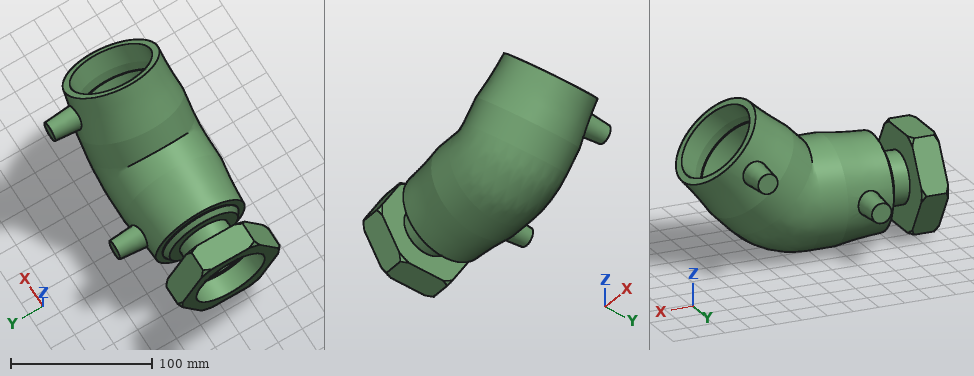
import cadquery as cq
import math

bend_angle = 45.0
arm_length = 71.3
bend_start = 13.6
bend_radius = bend_start / math.tan(math.radians(bend_angle / 2))
straight_length = 20.6
body_radius = 41.0
mouth_radius = 73.9 / 2
taper_sag = 0.5
corner_x = 112.5

socket_radius = 63.0 / 2
passage_radius = 53.5 / 2
shoulder_distance = 14.2
groove_start = 15.3
groove_end = 22.5
groove_radius = 32.7

pin_tip_y = 59.2
pin_root_y = 34.0
pin_tip_radius = 7.5
pin_root_radius = 9.6
pin_distance = 51.8

nut_length = 20.8
nut_across_flats = 73.5
nut_chamfer = 2.6
nut_bore_radius = 28.4
nut_bore_depth = 15.7
neck_radius = 19.8
collar_radius = 22.7
collar_face_x = 14.0
insert_x = 36.7
insert_chamfer_length = 3.8
insert_chamfer_radius = 28.4
bore_radius = 38.0 / 2


def along_x(start, end, radius):
    """Cylinder on the X axis between two X positions."""
    return cq.Workplane("YZ", origin=(start, 0, 0)).circle(radius).extrude(end - start)


def revolve_about_x(profile):
    return profile.close().revolve(360, (0, 0, 0), (1, 0, 0))


def to_outlet(shape):
    """Carry a shape from the inlet arm to its mirror position on the outlet arm."""
    mirrored = shape.mirror("YZ", (corner_x, 0, 0))
    return mirrored.rotate((corner_x, 0, 0), (corner_x, 1, 0), -bend_angle)


def sweep_bend(section):
    """Revolve a section at the start of the bend through the bend angle."""
    return section.revolve(bend_angle, (0, bend_radius, 0), (-1, bend_radius, 0))


def make_arm():
    mouth_x = corner_x - arm_length
    bend_x = corner_x - bend_start
    taper_end_x = bend_x - straight_length
    taper_middle = ((mouth_x + taper_end_x) / 2, (mouth_radius + body_radius) / 2 - taper_sag)
    profile = (
        cq.Workplane("XZ")
        .moveTo(mouth_x, 0)
        .lineTo(mouth_x, mouth_radius)
        .threePointArc(taper_middle, (taper_end_x, body_radius))
        .lineTo(bend_x, body_radius)
        .lineTo(bend_x, 0)
    )
    return revolve_about_x(profile)


def make_pin():
    length = pin_tip_y - pin_root_y
    pin = cq.Solid.makeCone(
        pin_root_radius, pin_tip_radius, length,
        cq.Vector(corner_x - pin_distance, pin_root_y, 0), cq.Vector(0, 1, 0),
    )
    return cq.Workplane(pin)


def make_bend():
    """Outer bend: the part of the body circle on the arm side of the bend axis."""
    start = cq.Workplane("YZ", origin=(corner_x - bend_start, 0, 0))
    half_chord = math.sqrt(body_radius**2 - bend_radius**2)
    section = (
        start.moveTo(-half_chord, bend_radius)
        .threePointArc((0, -body_radius), (half_chord, bend_radius))
        .close()
    )
    return sweep_bend(section)


def make_passage():
    start = cq.Workplane("YZ", origin=(corner_x - bend_start, 0, 0))
    bend = sweep_bend(start.circle(passage_radius))
    inlet_end = along_x(corner_x - shoulder_distance, corner_x - bend_start, passage_radius)
    return bend.union(inlet_end).union(to_outlet(inlet_end))


def make_outlet_socket():
    mouth_x = corner_x - arm_length
    profile = (
        cq.Workplane("XZ")
        .moveTo(mouth_x, 0)
        .lineTo(mouth_x, socket_radius)
        .lineTo(mouth_x + groove_start, socket_radius)
        .lineTo(mouth_x + groove_end, groove_radius)
        .lineTo(mouth_x + groove_end, socket_radius)
        .lineTo(corner_x - shoulder_distance, socket_radius)
        .lineTo(corner_x - shoulder_distance, 0)
    )
    return to_outlet(revolve_about_x(profile))


def make_elbow():
    arm = make_arm().union(make_pin())
    return arm.union(to_outlet(arm)).union(make_bend())


def make_nut():
    corner_radius = nut_across_flats / math.sqrt(3)
    nut = cq.Workplane("YZ").polygon(6, 2 * corner_radius).extrude(nut_length)
    envelope = along_x(0, nut_length, corner_radius).edges().chamfer(nut_chamfer)
    return nut.intersect(envelope).cut(along_x(0, nut_bore_depth, nut_bore_radius))


def make_insert():
    mouth_x = corner_x - arm_length
    shoulder = along_x(insert_x + insert_chamfer_length, mouth_x, socket_radius)
    cone = cq.Workplane(cq.Solid.makeCone(
        insert_chamfer_radius, socket_radius, insert_chamfer_length,
        cq.Vector(insert_x, 0, 0), cq.Vector(1, 0, 0),
    ))
    neck = along_x(nut_bore_depth, insert_x, neck_radius)
    collar = along_x(collar_face_x, nut_length, collar_radius)
    return shoulder.union(cone).union(neck).union(collar)


bore = along_x(0, corner_x - shoulder_distance, bore_radius)
result = (
    make_elbow()
    .union(make_insert())
    .union(make_nut())
    .cut(make_passage())
    .cut(make_outlet_socket())
    .cut(bore)
)